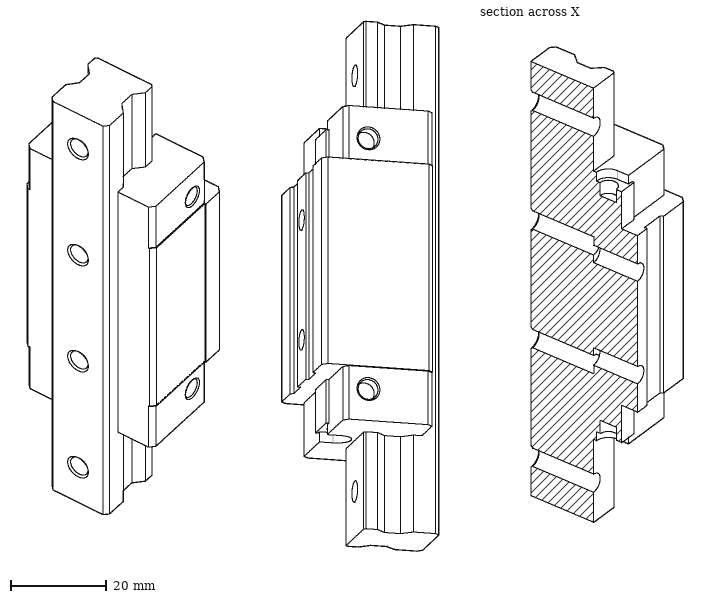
import cadquery as cq

rail_length = 110.0
rail_width = 15.0
rail_height = 16.5
rail_foot_chamfer = 1.0
rail_top_chamfer = 0.4
neck_width = 11.0
neck_slope_levels = (5.8, 8.0, 11.5, 13.6)

rail_hole_count = 4
rail_hole_pitch = 30.0
rail_hole_diameter = 4.5
rail_hole_chamfer = 0.4

block_width = 34.0
block_length = 44.8
block_bottom = 4.0
block_top = 28.0
block_chamfer = 1.1
relief_depth = 0.28
relief_top = 22.1

groove_depth = 0.7
groove_inner_x = 3.3
groove_outer_x = 8.6
groove_flare = 0.4

block_hole_diameter = 4.3
block_hole_pitch = 26.0

cap_total_length = 68.0
cap_width = 33.0
cap_top = 23.3
cap_chamfer = 1.1
pad_width = 8.6
pad_height = 0.5
pad_setback = 2.2

slot_width = 6.2
slot_depth = pad_setback
port_diameter = 4.2
port_height = 20.4
port_depth = 3.3

side_hole_diameter = 4.3
side_hole_chamfer = 0.3
side_hole_depth = 3.3
side_hole_height = 18.0
side_hole_setback = 6.8

overlap = 1.1
cap_end = cap_total_length / 2


def centred_prism(plan, length):
    """Extrude an XY outline along Z, symmetric about Z = 0."""
    return plan.extrude(length / 2, both=True)


def chamfered_bar(width, bottom, top, length, chamfer):
    """Bar along Z, centred on X = 0 and Z = 0, with its four long edges chamfered."""
    height = top - bottom
    bar = cq.Workplane("XY").box(width, height, length)
    return bar.edges("|Z").chamfer(chamfer).translate((0, bottom + height / 2, 0))


def cylinder_y(diameter, z, start, length):
    """Cylinder on X = 0 along +Y."""
    return cq.Workplane(cq.Solid.makeCylinder(
        diameter / 2, length, cq.Vector(0, start, z), cq.Vector(0, 1, 0)))


def make_rail():
    half = rail_width / 2
    neck = neck_width / 2
    foot_end, neck_start, neck_end, head_start = neck_slope_levels
    right_side = [
        (half - rail_foot_chamfer, 0),
        (half, rail_foot_chamfer),
        (half, foot_end),
        (neck, neck_start),
        (neck, neck_end),
        (half, head_start),
        (half, rail_height - rail_top_chamfer),
        (half - rail_top_chamfer, rail_height),
    ]
    left_side = [(-x, y) for x, y in reversed(right_side)]
    return centred_prism(cq.Workplane("XY").polyline(right_side + left_side).close(), rail_length)


def make_rail_holes():
    """Through holes in the rail, countersunk at the mounting face."""
    holes = cq.Workplane("XY")
    first_z = -rail_hole_pitch * (rail_hole_count - 1) / 2
    radius = rail_hole_diameter / 2
    for index in range(rail_hole_count):
        z = first_z + index * rail_hole_pitch
        countersink = cq.Solid.makeCone(
            radius + rail_hole_chamfer, radius, rail_hole_chamfer,
            cq.Vector(0, 0, z), cq.Vector(0, 1, 0))
        holes = holes.add(cylinder_y(rail_hole_diameter, z, 0, rail_height)).add(countersink)
    return holes.combine()


def make_block():
    block = chamfered_bar(block_width, block_bottom, block_top, block_length, block_chamfer)
    return block.cut(make_side_relief()).cut(make_groove(1)).cut(make_groove(-1))


def make_side_relief():
    """Shallow step below the reference face on the +X side, following the lower chamfer."""
    side_x = block_width / 2
    relieved_x = side_x - relief_depth
    outline = [
        (side_x + overlap, relief_top),
        (relieved_x, relief_top),
        (relieved_x, block_bottom + block_chamfer),
        (relieved_x - block_chamfer, block_bottom),
        (side_x + overlap, block_bottom),
    ]
    return centred_prism(cq.Workplane("XY").polyline(outline).close(), block_length)


def make_groove(side):
    """Shallow groove along the mounting face, with a flared outer wall."""
    floor = block_top - groove_depth
    outline = [
        (side * groove_inner_x, floor),
        (side * groove_outer_x, floor),
        (side * (groove_outer_x + groove_flare), block_top),
        (side * groove_inner_x, block_top),
    ]
    return centred_prism(cq.Workplane("XY").polyline(outline).close(), block_length)


def make_block_holes():
    """Mounting holes from the rail top out through the block's mounting face."""
    holes = cq.Workplane("XY")
    for side in (1, -1):
        z = side * block_hole_pitch / 2
        holes = holes.add(cylinder_y(block_hole_diameter, z, rail_height, block_top - rail_height))
    return holes.combine()


def make_caps():
    """Both end caps as one bar through the block, with a raised pad on top."""
    caps = chamfered_bar(cap_width, block_bottom, cap_top, cap_total_length, cap_chamfer)
    pad = cq.Workplane("XY").box(
        pad_width, 2 * pad_height, cap_total_length - 2 * pad_setback).translate((0, cap_top, 0))
    return caps.union(pad)


def make_end_port():
    """Round-bottomed slot and lubrication port in the upper end face."""
    slot_floor = cap_end - slot_depth
    plane = cq.Workplane("XY", origin=(0, port_height, slot_floor))
    slot_rise = cap_top - port_height
    slot = plane.circle(slot_width / 2).extrude(slot_depth)
    slot = slot.union(
        plane.center(0, slot_rise / 2).rect(slot_width, slot_rise).extrude(slot_depth))
    port = plane.circle(port_diameter / 2).extrude(-port_depth)
    return slot.union(port)


def make_side_hole():
    """Blind hole with a chamfered mouth in the +X side of the upper cap."""
    radius = side_hole_diameter / 2
    mouth = cq.Vector(cap_width / 2, side_hole_height, cap_end - side_hole_setback)
    inward = cq.Vector(-1, 0, 0)
    bore = cq.Solid.makeCylinder(radius, side_hole_depth, mouth, inward)
    chamfer = cq.Solid.makeCone(
        radius + side_hole_chamfer, radius, side_hole_chamfer, mouth, inward)
    return cq.Workplane(bore).union(cq.Workplane(chamfer))


body = make_rail().union(make_block()).union(make_caps())
body = body.cut(make_rail_holes()).cut(make_block_holes())

end_port = make_end_port()
body = body.cut(end_port).cut(end_port.mirror("XY"))

side_hole = make_side_hole()
for hole in (side_hole, side_hole.mirror("YZ")):
    body = body.cut(hole).cut(hole.mirror("XY"))

result = body